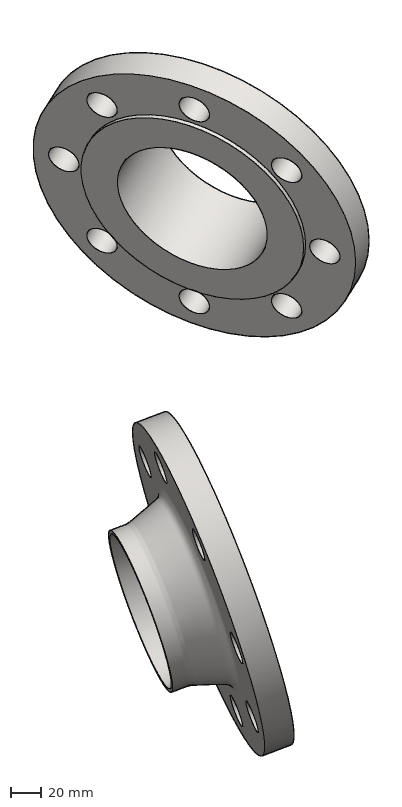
import cadquery as cq

flange_diameter = 235.0
total_length = 65.0
raised_face_diameter = 162.2
raised_face_height = 3.0
flange_thickness = 21.0
bore_diameter = 109.0
neck_diameter = 114.2
neck_length = 13.0
hub_base_diameter = 134.0
hub_fillet_radius = 8.0
neck_fillet_radius = 10.0
bolt_circle_diameter = 190.0
bolt_hole_diameter = 22.0
bolt_hole_count = 8

flange_back = raised_face_height + flange_thickness
neck_start = total_length - neck_length


def make_body():
    """Revolve the flange section, then round both ends of the tapered hub."""
    section = [
        (bore_diameter / 2, 0),
        (raised_face_diameter / 2, 0),
        (raised_face_diameter / 2, raised_face_height),
        (flange_diameter / 2, raised_face_height),
        (flange_diameter / 2, flange_back),
        (hub_base_diameter / 2, flange_back),
        (neck_diameter / 2, neck_start),
        (neck_diameter / 2, total_length),
        (bore_diameter / 2, total_length),
    ]
    body = cq.Workplane("XY").polyline(section).close().revolve(360, (0, 0), (0, 1))
    body = body.faces("%CONE").edges("<Y").fillet(hub_fillet_radius)
    return body.faces("%CONE").edges(">Y").fillet(neck_fillet_radius)


def make_bolt_holes():
    """Cylinders on the bolt circle, with one hole on each main axis."""
    return (
        cq.Workplane("XZ")
        .polarArray(bolt_circle_diameter / 2, 0, 360, bolt_hole_count)
        .circle(bolt_hole_diameter / 2)
        .extrude(-total_length)
    )


result = make_body().cut(make_bolt_holes())